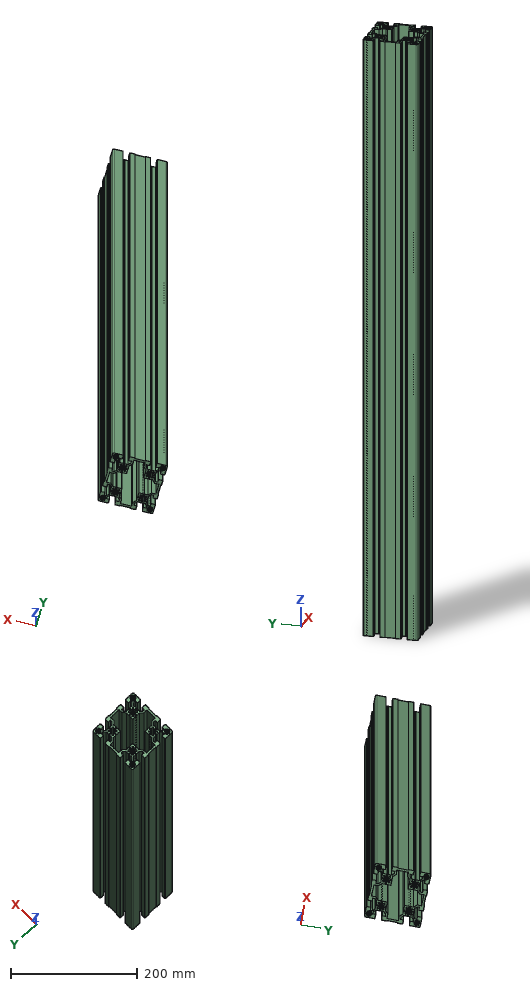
import cadquery as cq

length = 1000.0
side = 90.0
half = side / 2
module = side / 2
slot_offset = module / 2
corner_radius = 2.5

neck_half = 5.2
mouth_half = 5.9
mouth_depth = 1.0
slot_half = 10.0
floor_half = 6.5
floor_chamfer = slot_half - floor_half
lip_thickness = 7.3
slot_height = 7.0
lip_bottom = half - lip_thickness
slot_floor = lip_bottom - slot_height
groove_half = 1.0
groove_depth = 0.8

recess_width = 17.0
recess_depth = 1.0

arm_half = 14.0
arm_end_half = 9.2
outer_wall = 4.5
arm_end_length = 7.0
arm_reach = half - outer_wall
arm_end_start = arm_reach - arm_end_length
arm_wide_end = arm_end_start - (arm_half - arm_end_half)

slit_count = 4
core_hole_radius = 3.5
core_star_size = 14.0
core_slit_width = 2.0
corner_hole_inset = 6.5
corner_hole_offset = half - corner_hole_inset
corner_hole_radius = 2.0
corner_star_size = 9.0
corner_slit_width = 1.5

clearance = 5.0


def slot_cutter(x_centre):
    outline = (
        cq.Workplane("XY")
        .moveTo(mouth_half, half + clearance)
        .lineTo(mouth_half, half)
        .lineTo(neck_half, half - mouth_depth)
        .lineTo(neck_half, lip_bottom)
        .lineTo(slot_half, lip_bottom)
        .lineTo(slot_half, slot_floor + floor_chamfer)
        .lineTo(floor_half, slot_floor)
        .lineTo(groove_half, slot_floor)
        .lineTo(0, slot_floor - groove_depth)
        .lineTo(0, half + clearance)
        .close()
    )
    right_side = outline.extrude(length)
    return right_side.union(right_side.mirror("YZ")).translate((x_centre, 0, 0))


def recess_cutter():
    return cq.Workplane("XY").center(0, half).rect(recess_width, 2 * recess_depth).extrude(length)


def cavity_arm():
    right_side = [
        (arm_half, 0),
        (arm_half, arm_wide_end),
        (arm_end_half, arm_end_start),
        (arm_end_half, arm_reach),
    ]
    left_side = [(-x, y) for x, y in reversed(right_side)]
    return cq.Workplane("XY").polyline(right_side + left_side).close().extrude(length)


def star_hole(centre, bore_radius, star_size, slit_width):
    hole = cq.Workplane("XY").circle(bore_radius).extrude(length)
    for index in range(slit_count):
        slit = cq.Workplane("XY").rect(star_size, slit_width).extrude(length)
        hole = hole.union(slit.rotate((0, 0, 0), (0, 0, 1), index * 180 / slit_count))
    return hole.translate((centre, centre, 0))


result = cq.Workplane("XY").rect(side, side).extrude(length).edges("|Z").fillet(corner_radius)
cutters = [
    slot_cutter(-slot_offset),
    slot_cutter(slot_offset),
    recess_cutter(),
    cavity_arm(),
    star_hole(slot_offset, core_hole_radius, core_star_size, core_slit_width),
    star_hole(corner_hole_offset, corner_hole_radius, corner_star_size, corner_slit_width),
]
for quarter in range(4):
    for cutter in cutters:
        result = result.cut(cutter.rotate((0, 0, 0), (0, 0, 1), 90 * quarter))